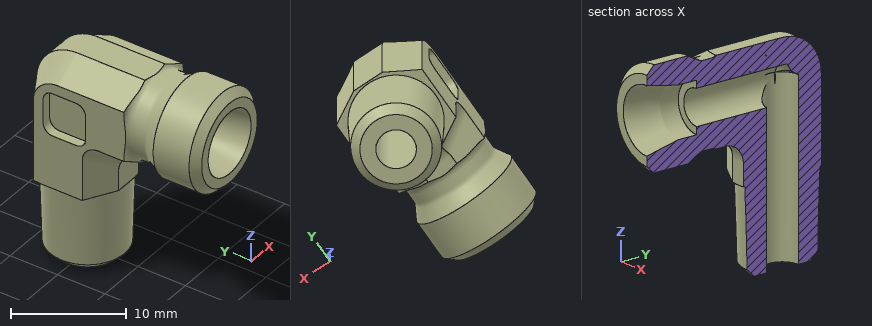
import cadquery as cq
import math


across_flats = 9.0
flat_width = 3.0
body_bottom = 8.5
crotch_radius = 2.0
half_width = across_flats / 2
slope = math.tan(math.radians(30))
side_half_height = half_width * slope
half_height = (2 * half_width - flat_width / 2) * slope
bar_reach = 2 * across_flats

port_end = 15.0
port_diameter = 10.0
port_chamfer = 0.8
port_length = 4.58
back_cone_length = 1.4
neck_diameter = 8.4
neck_end = 7.8
neck_radius = 0.81

seat_mouth_diameter = 6.5
tube_stop_diameter = 5.0
seat_half_angle = 12
seat_depth = 5.5
bore_diameter = 3.5
bore_overrun = 0.5
drill_half_angle = 59

overall_height = 22
thread_end = overall_height - port_diameter / 2
thread_diameter = 8.34
collar_length = 0.53
thread_chamfer = 0.81
taper = 1 / 16

panel_size = 4.47
panel_offset = 0.7
panel_corner_radius = 1.0
panel_depth = 1.0


def body_section(plane, inner_left, inner_right):
    """Body section whose inner side is one line, given by its depth at each edge."""
    return cq.Workplane(plane).polyline([
        (half_width, side_half_height),
        (flat_width / 2, half_height),
        (-flat_width / 2, half_height),
        (-half_width, side_half_height),
        (-half_width, -inner_left),
        (half_width, -inner_right),
    ]).close()


def turned(profile):
    """Close a profile and turn it about the vertical axis of its plane."""
    return profile.close().revolve(360, (0, 0, 0), (0, 1, 0))


def make_bent_bar(inner_left, inner_right):
    """Elbow with one straight, filleted crotch edge running across its width."""
    leg_to_port = body_section("XZ", inner_left, inner_right).extrude(bar_reach)
    leg_to_thread = body_section("XY", inner_left, inner_right).extrude(-bar_reach)

    bend = body_section("XY", 0, 0).revolve(90, (0, 0, 0), (1, 0, 0))

    bar = leg_to_port.union(leg_to_thread).union(bend)

    mean_depth = (inner_left + inner_right) / 2
    crotch = cq.selectors.NearestToPointSelector((0, -mean_depth, -mean_depth))
    return bar.edges(crotch).fillet(crotch_radius)


def make_elbow():
    deep_edge = side_half_height + 2 * half_width * slope
    elbow = (
        make_bent_bar(half_height, half_height)
        .intersect(make_bent_bar(side_half_height, deep_edge))
        .intersect(make_bent_bar(deep_edge, side_half_height))
    )
    port_trim = neck_end + half_height
    thread_trim = body_bottom + half_height
    return elbow.intersect(
        cq.Workplane("XY")
        .box(2 * half_width, port_trim, thread_trim)
        .translate((0, half_height - port_trim / 2, half_height - thread_trim / 2))
    )


def make_neck_groove():
    """Ring that turns the end of the body down to the neck with a cove."""
    neck = neck_diameter / 2
    diagonal = neck_radius * math.sqrt(0.5)
    profile = (
        cq.Workplane("XY")
        .moveTo(neck, -neck_end)
        .threePointArc(
            (neck + neck_radius - diagonal, -neck_end + diagonal),
            (neck + neck_radius, -neck_end + neck_radius),
        )
        .lineTo(across_flats, -neck_end + neck_radius)
        .lineTo(across_flats, -neck_end)
    )
    return turned(profile)


def make_tube_port():
    neck = neck_diameter / 2
    outer = port_diameter / 2
    cone_start = -port_end + port_length
    cone_root = cone_start + back_cone_length

    cone_angle = math.atan2(outer - neck, back_cone_length)
    tangent = neck_radius * math.tan(cone_angle / 2)
    blend_centre = (neck + neck_radius, cone_root + tangent)

    def blend_point(angle):
        return (
            blend_centre[0] - neck_radius * math.cos(angle),
            blend_centre[1] - neck_radius * math.sin(angle),
        )

    profile = (
        cq.Workplane("XY")
        .moveTo(0, -neck_end)
        .lineTo(neck, -neck_end)
        .lineTo(*blend_point(0))
        .threePointArc(blend_point(cone_angle / 2), blend_point(cone_angle))
        .lineTo(outer, cone_start)
        .lineTo(outer, -port_end + port_chamfer)
        .lineTo(outer - port_chamfer, -port_end)
        .lineTo(0, -port_end)
    )
    return turned(profile)


def make_thread_port():
    collar = thread_diameter / 2
    taper_start = -body_bottom - collar_length
    taper_end = -thread_end + thread_chamfer
    small_end = collar - (taper_start - taper_end) * taper / 2
    profile = (
        cq.Workplane("XZ")
        .moveTo(0, -body_bottom)
        .lineTo(collar, -body_bottom)
        .lineTo(collar, taper_start)
        .lineTo(small_end, taper_end)
        .lineTo(small_end - thread_chamfer, -thread_end)
        .lineTo(0, -thread_end)
    )
    return turned(profile)


def make_bore(plane, length):
    """Drilled bore with a conical tip, its axis along the plane's vertical."""
    radius = bore_diameter / 2
    tip = bore_overrun + radius / math.tan(math.radians(drill_half_angle))
    profile = (
        cq.Workplane(plane)
        .moveTo(0, -length)
        .lineTo(radius, -length)
        .lineTo(radius, bore_overrun)
        .lineTo(0, tip)
    )
    return turned(profile)


def make_tube_seat():
    """Tapered mouth followed by a straight socket for the tube end."""
    mouth = seat_mouth_diameter / 2
    stop = tube_stop_diameter / 2
    cone_depth = (mouth - stop) / math.tan(math.radians(seat_half_angle))
    profile = (
        cq.Workplane("XY")
        .moveTo(0, -port_end)
        .lineTo(mouth, -port_end)
        .lineTo(stop, -port_end + cone_depth)
        .lineTo(stop, -port_end + seat_depth)
        .lineTo(0, -port_end + seat_depth)
    )
    return turned(profile)


def make_marking_panel():
    return (
        cq.Workplane("YZ", origin=(-half_width, 0, 0))
        .center(-panel_offset, -panel_offset)
        .rect(panel_size, panel_size)
        .extrude(panel_depth)
        .edges("|X")
        .fillet(panel_corner_radius)
    )


result = (
    make_elbow()
    .cut(make_neck_groove())
    .union(make_tube_port())
    .union(make_thread_port())
    .cut(make_marking_panel())
    .cut(make_tube_seat())
    .cut(make_bore("XY", port_end))
    .cut(make_bore("XZ", thread_end))
)